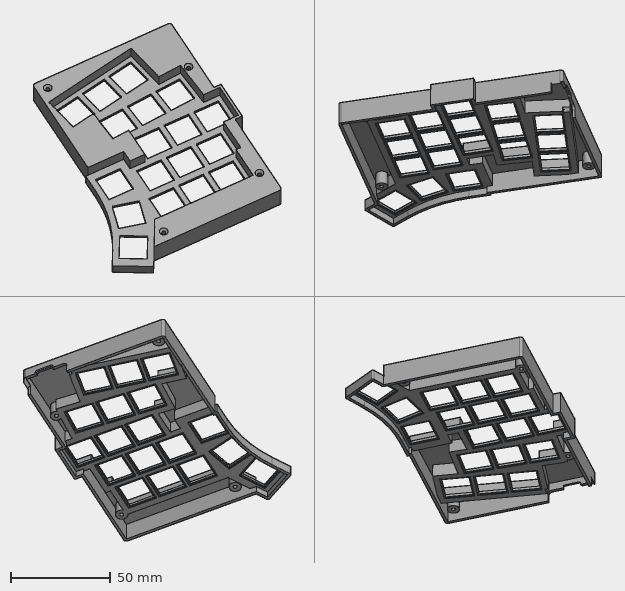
import cadquery as cq
import math

overall_width = 122.8
case_width = 116.6
case_depth = 79.2
case_height = 12.5
case_corner_radius = 1.5
wall = 1.5

plate_top = 5.8
plate_thickness = 2.0
plate_bottom = plate_top - plate_thickness

key_hole = 14.0
key_relief = 15.5
clip_lip = 1.5

keys_per_column = 3
column_spacing = 17.9
row_spacing = 17.1
cell_half_width = 9.7
cell_half_depth = 9.3
column_half_depth = row_spacing + cell_half_depth
gap_filler_width = 3.7

middle_x = 56.5
middle_y = 55.4
fourth_x = middle_x + column_spacing
fourth_y = 46.9
fifth_x = fourth_x + column_spacing
fifth_y = 44.2
columns = [
    (18.4, 29.8, 10.0),
    (37.0, 45.3, 4.0),
    (middle_x, middle_y, 0.0),
    (fourth_x, fourth_y, 0.0),
    (fifth_x, fifth_y, 0.0),
]

thumb_keys = 3
thumb_x = 69.2
thumb_y = 9.2
thumb_arc_radius = 77.0
thumb_step = 15.0
thumb_last = (thumb_keys - 1) * thumb_step
thumb_pivot_y = thumb_y - thumb_arc_radius
thumb_half_depth = 10.4
thumb_left = 58.1
thumb_corner_radius = 0.7

screw_places = [(5.5, 5.8), (28.1, 74.0), (102.4, 74.0), (110.7, 14.6)]
post_diameter = 6.1
screw_hole = 2.0
countersink_diameter = 4.3
countersink_angle = 90.0

opening_front = 54.5
opening_top = 6.4
opening_reach = 6.1
opening_radius = 2.0
plug_y = 67.2
plug_width = 9.1
plug_top = 8.1
plug_radius = 0.9
plug_bevel = 0.5
plug_bevel_angle = 45.0


def place(shape, x, y, tilt):
    """Turn a shape about Z, then move it in the XY plane."""
    return shape.rotate((0, 0, 0), (0, 0, 1), tilt).translate((x, y, 0))


def slab(bottom, top):
    """Level slab, larger than the part, for trimming blocks in height."""
    size = 4 * overall_width
    return cq.Workplane("XY", origin=(0, 0, bottom)).rect(size, size).extrude(top - bottom)


def thumb_point(angle, across=0.0, outward=0.0):
    """Point beside the thumb key that is turned clockwise by the angle."""
    turn = math.radians(angle)
    radius = thumb_arc_radius + outward
    x = thumb_x + radius * math.sin(turn) + across * math.cos(turn)
    y = thumb_pivot_y + radius * math.cos(turn) - across * math.sin(turn)
    return (x, y)


def last_thumb_half_width():
    """Half width of the last thumb cell whose rounded corner reaches the overall width."""
    turn = math.radians(thumb_last)
    round_x = overall_width - thumb_corner_radius
    cell_x = thumb_point(thumb_last, outward=thumb_half_depth - thumb_corner_radius)[0]
    return (round_x - cell_x) / math.cos(turn) + thumb_corner_radius


def column_strip(tilt, height):
    """Footprint of one column; a tilted one is widened to close the gap to its neighbour."""
    strip = cq.Workplane("XY").rect(2 * cell_half_width, 2 * column_half_depth).extrude(height)
    if tilt:
        filler_front = -row_spacing / 2
        filler = (
            cq.Workplane("XY")
            .box(gap_filler_width, column_half_depth - filler_front, height, centered=False)
            .translate((cell_half_width, filler_front, 0))
        )
        strip = strip.union(filler)
    return strip


def key_columns(height):
    """Footprints of all key columns as one block."""
    block = cq.Workplane("XY")
    for x, y, tilt in columns:
        block = block.add(place(column_strip(tilt, height), x, y, tilt))
    return block.combine()


def thumb_block(height):
    """Footprint of the thumb cluster, up to the front ends of the last two columns."""
    depth = thumb_half_depth
    half_width = last_thumb_half_width()
    front_corner = thumb_point(thumb_last, half_width, -depth)
    back_corner = thumb_point(thumb_last, half_width, depth)
    inner_x = fifth_x + cell_half_width
    inner_y = fourth_y - column_half_depth
    shoulder_y = back_corner[1] + (back_corner[0] - inner_x) * math.tan(math.radians(thumb_last))

    outline = cq.Workplane("XY").moveTo(thumb_left, thumb_y - depth).lineTo(thumb_x, thumb_y - depth)
    for key in range(1, thumb_keys):
        angle = key * thumb_step
        outline = outline.threePointArc(
            thumb_point(angle - thumb_step / 2, 0, -depth), thumb_point(angle, 0, -depth)
        )
    block = (
        outline.lineTo(*front_corner)
        .lineTo(*back_corner)
        .lineTo(inner_x, shoulder_y)
        .lineTo(inner_x, inner_y)
        .lineTo(thumb_left, inner_y)
        .close()
        .extrude(height)
    )
    for x, y in (front_corner, back_corner):
        corner_edge = cq.selectors.NearestToPointSelector((x, y, height / 2))
        block = block.edges("|Z").edges(corner_edge).fillet(thumb_corner_radius)
    return block


def outer_body():
    """Solid case with the bump behind the middle column and the low thumb cluster."""
    case = (
        cq.Workplane("XY")
        .box(case_width, case_depth, case_height, centered=False)
        .edges("|Z")
        .fillet(case_corner_radius)
    )
    bump_width = 2 * (cell_half_width + wall)
    bump_depth = column_half_depth + wall
    bump = (
        cq.Workplane("XY", origin=(middle_x, middle_y, 0))
        .box(bump_width, bump_depth, case_height, centered=(True, False, False))
    )
    return case.union(bump).union(thumb_block(plate_top))


def offset_block(solid, distance):
    """Full-height block whose footprint is the bottom outline of a solid, offset."""
    outline = solid.faces("<Z").wires().toPending()
    return outline.offset2D(distance, "intersection").extrude(case_height, combine=False)


def key_places():
    """Centre and tilt of every key."""
    places = []
    for x, y, tilt in columns:
        turn = math.radians(tilt)
        for key in range(keys_per_column):
            step = (key - (keys_per_column - 1) / 2) * row_spacing
            places.append((x - step * math.sin(turn), y + step * math.cos(turn), tilt))
    for key in range(thumb_keys):
        angle = key * thumb_step
        places.append((*thumb_point(angle), -angle))
    return places


def key_holes():
    """Holes for all switches, each with its relief below the clip lip."""
    hole = cq.Workplane("XY").rect(key_hole, key_hole).extrude(plate_top)
    relief = cq.Workplane("XY").rect(key_relief, key_relief).extrude(plate_top - clip_lip)
    relief = relief.intersect(slab(plate_bottom, plate_top))
    cutter = hole.union(relief)
    holes = cq.Workplane("XY")
    for x, y, tilt in key_places():
        holes = holes.add(place(cutter, x, y, tilt))
    return holes.combine()


def connector_opening():
    """Low opening at the back left corner and the bevelled plug window in the left wall."""
    low = (
        cq.Workplane("XY", origin=(0, opening_front, 0))
        .box(opening_reach, case_depth - opening_front, opening_top, centered=False)
        .edges("|X and >Z")
        .fillet(opening_radius)
    )
    left_face = cq.Workplane("YZ").center(plug_y, 0)
    window = left_face.sketch().rect(plug_width, 2 * plug_top).vertices().fillet(plug_radius)
    window = window.finalize().extrude(wall)
    rim_width = plug_width + 2 * plug_bevel
    rim_height = 2 * (plug_top + plug_bevel)
    bevel = left_face.sketch().rect(rim_width, rim_height).vertices().fillet(plug_radius + plug_bevel)
    bevel = bevel.finalize().extrude(plug_bevel, taper=plug_bevel_angle)
    return low.union(window).union(bevel)


def screw_posts():
    """Posts from the level of the plate underside to the roof."""
    return (
        cq.Workplane("XY", origin=(0, 0, plate_bottom))
        .pushPoints(screw_places)
        .circle(post_diameter / 2)
        .extrude(case_height - plate_bottom)
    )


body = outer_body()
recess = key_columns(case_height).union(thumb_block(case_height)).clean()

inside = offset_block(body, -wall)
below_plate = inside.intersect(slab(0, plate_bottom))
below_roof = inside.cut(offset_block(recess, wall)).intersect(slab(0, case_height - wall))
result = body.cut(below_plate).cut(below_roof).union(screw_posts())

result = result.cut(recess.translate((0, 0, plate_top)))
result = result.cut(key_holes())
result = result.cut(connector_opening())
result = (
    result.faces(">Z")
    .workplane(origin=(0, 0, case_height))
    .pushPoints(screw_places)
    .cskHole(screw_hole, countersink_diameter, countersink_angle)
)